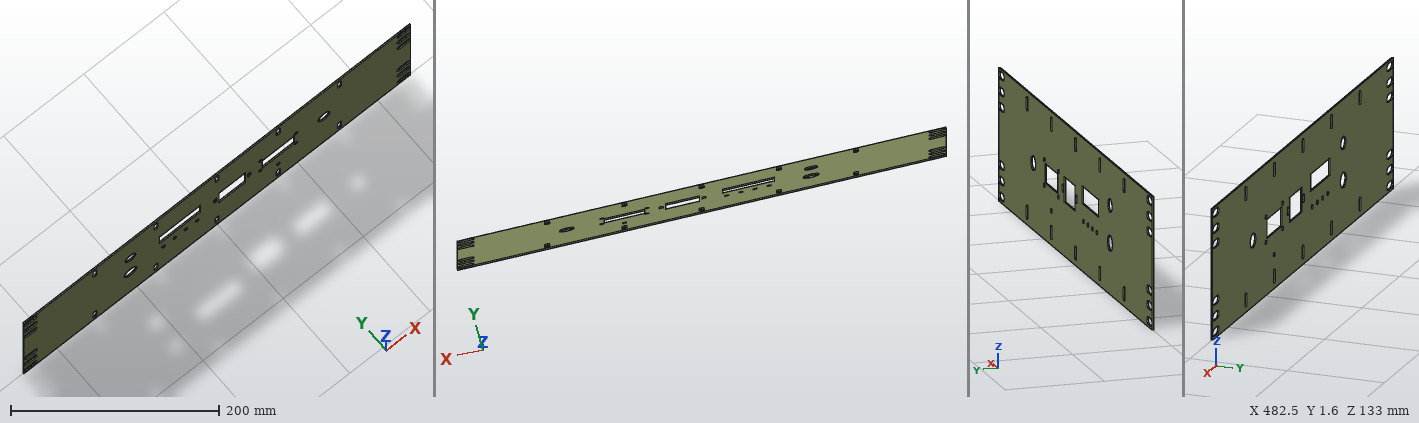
import cadquery as cq

panel_width = 482.5
panel_height = 133.0
panel_thickness = 1.6

rack_slot_length = 16.0
rack_slot_width = 7.5
rack_slot_x = 232.5
rack_slot_heights = (29.0, 44.5, 60.5)

edge_slot_length = 14.0
edge_slot_width = 5.0
edge_slot_pitch = 76.3
edge_slot_count = 5
edge_slot_z = 54.0

left_hole_x = -108.0
upper_left_hole_z = 22.0
lower_left_hole_z = -15.5
right_hole_x = 133.0
right_hole_diameter = 14.5
upper_left_hole_diameter = 13.0
lower_left_hole_diameter = 15.5

display_x = -46.5
display_z = 9.5
display_width = 51.0
display_height = 17.5
indicator_diameter = 4.0
indicator_x = -46.0
indicator_pitch = 14.0
indicator_count = 4
indicator_z = -16.0

socket_x = 19.0
socket_width = 33.5
socket_height = 25.0
socket_slot_spacing = 42.0
socket_slot_length = 8.0
socket_slot_width = 3.95

meter_x = edge_slot_pitch
meter_width = 40.0
meter_height = 19.5
meter_screw_diameter = 3.95
meter_screw_spacing_x = 44.5
meter_screw_spacing_z = 25.5
lower_indicator_z = -32.5


def face_sketch():
    """Workplane on the middle of the panel: local x is X, local y is Z."""
    return cq.Workplane("XZ")


def drill(points, diameter):
    return face_sketch().pushPoints(points).circle(diameter / 2).extrude(panel_thickness, both=True)


def slots(points, length, width, angle):
    return face_sketch().pushPoints(points).slot2D(length, width, angle).extrude(panel_thickness, both=True)


def window(x, z, width, height):
    return face_sketch().center(x, z).rect(width, height).extrude(panel_thickness, both=True)


def row(center, pitch, count):
    """Evenly spaced positions about a centre."""
    return [center + (i - (count - 1) / 2) * pitch for i in range(count)]


panel = cq.Workplane("XY").box(panel_width, panel_thickness, panel_height)

rack_points = [
    (side * rack_slot_x, end * z)
    for side in (-1, 1)
    for end in (-1, 1)
    for z in rack_slot_heights
]
edge_points = [
    (x, end * edge_slot_z)
    for x in row(0, edge_slot_pitch, edge_slot_count)
    for end in (-1, 1)
]
panel = panel.cut(slots(rack_points, rack_slot_length, rack_slot_width, 0))
panel = panel.cut(slots(edge_points, edge_slot_length, edge_slot_width, 90))

panel = panel.cut(drill([(left_hole_x, upper_left_hole_z)], upper_left_hole_diameter))
panel = panel.cut(drill([(left_hole_x, lower_left_hole_z)], lower_left_hole_diameter))
panel = panel.cut(drill([(right_hole_x, 0)], right_hole_diameter))

indicator_points = [(x, indicator_z) for x in row(indicator_x, indicator_pitch, indicator_count)]
indicator_points.append((meter_x, lower_indicator_z))
panel = panel.cut(window(display_x, display_z, display_width, display_height))
panel = panel.cut(drill(indicator_points, indicator_diameter))

socket_slot_points = [(x, 0) for x in row(socket_x, socket_slot_spacing, 2)]
panel = panel.cut(window(socket_x, 0, socket_width, socket_height))
panel = panel.cut(slots(socket_slot_points, socket_slot_length, socket_slot_width, 90))

meter_screw_points = [
    (x, z)
    for x in row(meter_x, meter_screw_spacing_x, 2)
    for z in row(0, meter_screw_spacing_z, 2)
]
panel = panel.cut(window(meter_x, 0, meter_width, meter_height))
panel = panel.cut(drill(meter_screw_points, meter_screw_diameter))

result = panel